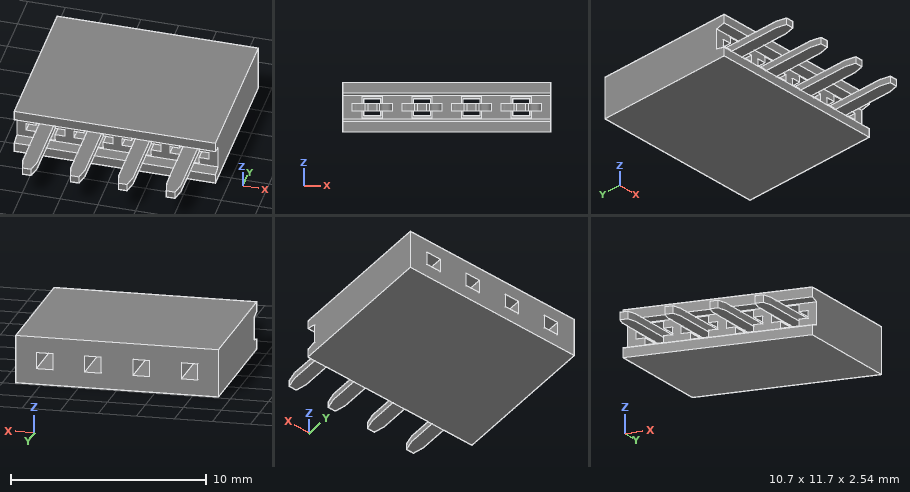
import cadquery as cq


contact_count = 4
pitch = 2.54

housing_width = contact_count * pitch + 0.5
housing_depth = 8.5
housing_height = 2.54

channel_depth = 0.53
channel_mouth_height = 1.48
channel_floor_height = 1.22

contact_thickness = 0.4
tail_width = 0.76
tail_projection = 3.2
tip_width = 0.46
tip_length = 0.63
shoulder_width = 2.05
shoulder_corner_radius = 0.24
tail_root_radius = 0.19
shoulder_setback = 2.0
shoulder_length = 2.0

cavity_width = 1.03
cavity_height = 1.12
cavity_depth = shoulder_setback + shoulder_length
entry_size = 0.86

shoulder_start = channel_depth + shoulder_setback
cavity_end = channel_depth + cavity_depth

row_start = -(contact_count - 1) * pitch / 2
contact_centers = [row_start + index * pitch for index in range(contact_count)]


def box_along_y(center_x, width, height, y_start, y_end):
    """Box centred on z = 0 that runs from y_start to y_end."""
    return (
        cq.Workplane("XY")
        .box(width, y_end - y_start, height, centered=(True, False, True))
        .translate((center_x, y_start, 0))
    )


def make_channel():
    """Trapezoidal channel, wider at its mouth, through the full housing width."""
    return (
        cq.Workplane("YZ")
        .polyline([
            (0, -channel_mouth_height / 2),
            (channel_depth, -channel_floor_height / 2),
            (channel_depth, channel_floor_height / 2),
            (0, channel_mouth_height / 2),
        ])
        .close()
        .extrude(housing_width / 2, both=True)
    )


def make_contact_opening(center_x):
    """Cavity with a wide flat slot for the contact and a square entry hole on the mating side."""
    cavity = box_along_y(center_x, cavity_width, cavity_height, channel_depth, cavity_end)
    slot = box_along_y(center_x, shoulder_width, contact_thickness, channel_depth, cavity_end)
    entry = box_along_y(center_x, entry_size, entry_size, channel_depth, housing_depth)
    return cavity.union(slot).union(entry)


def make_housing():
    housing = box_along_y(0, housing_width, housing_height, 0, housing_depth)
    housing = housing.cut(make_channel())
    for center_x in contact_centers:
        housing = housing.cut(make_contact_opening(center_x))
    return housing


def make_contact(center_x):
    """Flat contact: a tapered tail growing out of a round-cornered shoulder plate."""
    plate = box_along_y(0, shoulder_width, contact_thickness, shoulder_start, cavity_end)
    plate = plate.edges("|Z and <Y").fillet(shoulder_corner_radius)
    tail = (
        cq.Workplane("XY")
        .workplane(offset=-contact_thickness / 2)
        .polyline([
            (-tail_width / 2, shoulder_start),
            (-tail_width / 2, tip_length - tail_projection),
            (-tip_width / 2, -tail_projection),
            (tip_width / 2, -tail_projection),
            (tail_width / 2, tip_length - tail_projection),
            (tail_width / 2, shoulder_start),
        ])
        .close()
        .extrude(contact_thickness)
    )
    tail_roots = cq.selectors.BoxSelector(
        (-tail_width, shoulder_start - tail_root_radius, -contact_thickness),
        (tail_width, shoulder_start + tail_root_radius, contact_thickness),
    )
    contact = plate.union(tail).edges("|Z").edges(tail_roots).fillet(tail_root_radius)
    return contact.translate((center_x, 0, 0))


housing = make_housing()
contacts = [make_contact(center_x) for center_x in contact_centers]

result = cq.Compound.makeCompound([housing.val(), *[contact.val() for contact in contacts]])